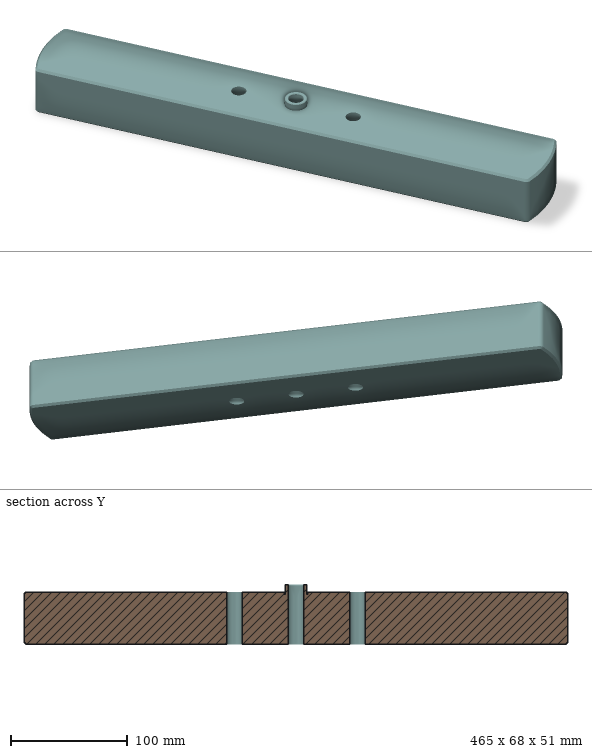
import cadquery as cq
import math

length = 465.0
width = 68.0
body_height = 45.0
end_radius = 93.0
corner_radius = 4.0
rim_chamfer = 2.0

overall_height = 51.0
boss_diameter = 19.0
boss_chamfer = 0.5
bore_diameter = 13.0

clearance_diameter = 20.0
clearance_depth = 2.0

mount_hole_diameter = 13.0
mount_hole_spacing = 105.0


def make_cylinder(x, diameter, height):
    """Upright cylinder standing on the base plane at the given X."""
    return cq.Workplane("XY").center(x, 0).circle(diameter / 2).extrude(height)


def make_body():
    """Block whose two ends are arcs centred on the X axis; rounded corners, chamfered rims."""
    half_length = length / 2
    half_width = width / 2
    bow = end_radius - math.sqrt(end_radius**2 - half_width**2)
    corner_x = half_length - bow
    block = (
        cq.Workplane("XY")
        .moveTo(-corner_x, -half_width)
        .lineTo(corner_x, -half_width)
        .threePointArc((half_length, 0), (corner_x, half_width))
        .lineTo(-corner_x, half_width)
        .threePointArc((-half_length, 0), (-corner_x, -half_width))
        .close()
        .extrude(body_height)
    )
    block = block.edges("|Z").fillet(corner_radius)
    return block.faces("<Z or >Z").edges().chamfer(rim_chamfer)


def make_boss():
    """Tube from the base to above the top face, its bore and outside chamfered at the top."""
    tube = make_cylinder(0, boss_diameter, overall_height)
    tube = tube.cut(make_cylinder(0, bore_diameter, overall_height))
    return tube.faces(">Z").edges().chamfer(boss_chamfer)


def make_clearance():
    """Shallow disc cut from the top face; the boss leaves only a thin ring of it open."""
    disc = make_cylinder(0, clearance_diameter, clearance_depth)
    return disc.translate((0, 0, body_height - clearance_depth))


result = make_body().cut(make_clearance())
result = result.cut(make_cylinder(0, bore_diameter, body_height)).union(make_boss())
for side in (-1, 1):
    hole_x = side * mount_hole_spacing / 2
    result = result.cut(make_cylinder(hole_x, mount_hole_diameter, body_height))